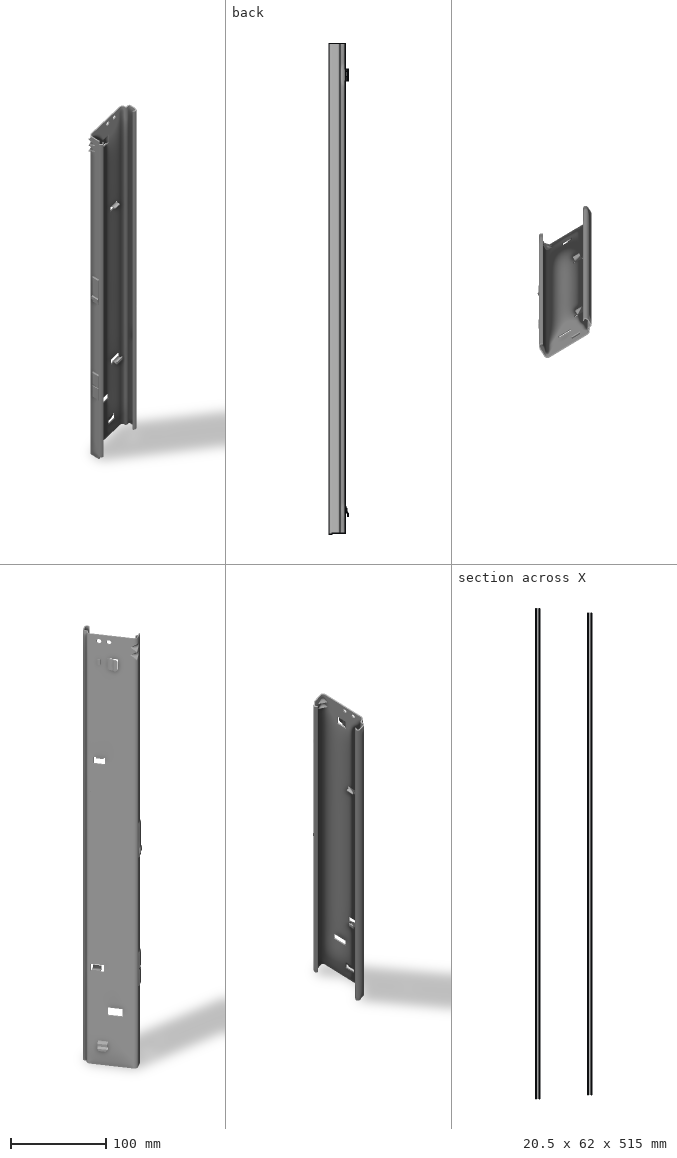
import cadquery as cq
import math

LENGTH = 515.0
WIDTH = 60.0
TOTAL_DEPTH = 20.5
CATCH_REACH = 3.35
DEPTH = TOTAL_DEPTH - CATCH_REACH
SHEET = 1.3
HALF = SHEET / 2

CORNER = 4.0
LIP_START = 14.0
LIP_TIP_X = 15.5
LIP_TIP_RISE = 4.9
LIP_CUTBACK = 4.5
LIP_CLEARANCE = 7.5
LIP_OVERHANG = 1.0

WEB_TOP = 51.0
STEP_Y = 54.5
STEP_BEND = 1.5
ARCH_X = 6.0
ARCH_BEND = 2.0

HOLE_RADIUS = 2.5
HOLE_Z = 507.5
HOLE_Y = (30.5, 41.0)
WINDOW_Y = (16.0, 31.5)
WINDOW_Z = (61.5, 70.5)

TAB_REACH = 6.0
UPPER_SLOT_Y = (34.5, 47.0)
UPPER_SLOT_Z = (360.5, 368.0)
UPPER_TAB_Y = (36.5, 44.5)
LOWER_SLOT_Y = (35.5, 50.0)
LOWER_SLOT_Z = (112.5, 120.5)
LOWER_TAB_Y = (39.5, 49.0)
LOWER_TAB_RISE = 4.0

CATCH_STEP = 1.8
CATCH_RAMP_END = 3.0
CATCH_FLAT_END = 6.0
CATCH_LIP_START = 8.0
LOWER_CATCH_Y = (31.5, 42.0)
LOWER_CATCH_Z = (19.0, 30.0)
LOWER_CATCH_CHAMFER = 2.0
UPPER_CATCH_Y = (20.5, 32.5)
UPPER_CATCH_Z = (475.5, 488.0)
UPPER_CATCH_CHAMFER = 1.5

NIB_HEIGHT = 1.5
NIB_Y = (39.5, 42.0)
NIB_Z = (480.0, 485.5)

PAD_X = (5.5, LIP_START)
PAD_HEIGHT = 1.0
PAD_RAMP = 1.5
UPPER_PAD_Z = (250.5, 292.0)
LOWER_PAD_Z = (96.5, 137.5)
RIDGE_Z = (254.5, 262.5)
RIDGE_HEIGHT = 2.0
RIDGE_RAMP = 2.0
GROOVE_Z = (115.5, 119.0)
GROOVE_DEPTH = 0.5

DENT_Z = (495.0, 504.0)
DENT_FLANGE_X = 9.0
DENT_WEB_Y = 7.0
DENT_HALF_ANGLE = 40.0

WEB_CUT_X = (-SHEET, 2 * SHEET)


def span(limits):
    """Distance between two (low, high) limits."""
    return limits[1] - limits[0]


def block(x_range, y_range, z_range):
    """Box given by its (low, high) limits along each axis."""
    size = (span(x_range), span(y_range), span(z_range))
    corner = (x_range[0], y_range[0], z_range[0])
    return cq.Workplane("XY").box(*size, centered=False).translate(corner)


def on_circle(center, radius, degrees):
    """Point on a circle, used as the middle point of a bend."""
    angle = math.radians(degrees)
    return (center[0] + radius * math.cos(angle), center[1] + radius * math.sin(angle))


def rail():
    """Bent sheet channel: the middle line of the sheet, thickened and extruded."""
    edge_x = DEPTH - HALF
    top_y = WIDTH - HALF
    step_radius = STEP_Y - WEB_TOP
    step_start = HALF + step_radius
    step_end = ARCH_X - STEP_BEND
    arch_top_x = ARCH_X + ARCH_BEND
    arch_side_y = top_y - ARCH_BEND
    lip_radius = edge_x - LIP_START
    lip_bulge = HALF + lip_radius

    corner_mid = on_circle((CORNER, CORNER), CORNER - HALF, 225)
    step_mid = on_circle((step_start, WEB_TOP), step_radius, 135)
    rise_mid = on_circle((step_end, STEP_Y + STEP_BEND), STEP_BEND, 315)
    arch_mid = on_circle((arch_top_x, arch_side_y), ARCH_BEND, 135)
    lip_mid = on_circle((LIP_START, lip_bulge), lip_radius, 315)

    middle_line = (
        cq.Workplane("XY")
        .moveTo(LIP_TIP_X, LIP_TIP_RISE)
        .lineTo(edge_x, lip_bulge)
        .threePointArc(lip_mid, (LIP_START, HALF))
        .lineTo(CORNER, HALF)
        .threePointArc(corner_mid, (HALF, CORNER))
        .lineTo(HALF, WEB_TOP)
        .threePointArc(step_mid, (step_start, STEP_Y))
        .lineTo(step_end, STEP_Y)
        .threePointArc(rise_mid, (ARCH_X, STEP_Y + STEP_BEND))
        .lineTo(ARCH_X, arch_side_y)
        .threePointArc(arch_mid, (arch_top_x, top_y))
        .lineTo(LIP_START, top_y)
        .threePointArc((lip_mid[0], WIDTH - lip_mid[1]), (edge_x, WIDTH - lip_bulge))
        .lineTo(LIP_TIP_X, WIDTH - LIP_TIP_RISE)
    )
    return middle_line.offset2D(HALF, "intersection").extrude(LENGTH)


def trim_ends(body):
    """Shorten the lower lip at both ends and leave only the upper lip at the very bottom."""
    upper_lip_y = WIDTH - LIP_CLEARANCE
    body = body.cut(block((0, LIP_START), (0, WIDTH), (0, LIP_OVERHANG)))
    body = body.cut(block((LIP_START, DEPTH), (0, upper_lip_y), (0, LIP_OVERHANG)))
    for z_range in ((0, LIP_CUTBACK), (LENGTH - LIP_CUTBACK, LENGTH)):
        body = body.cut(block((LIP_START, DEPTH), (-SHEET, LIP_CLEARANCE), z_range))
    return body


def dent_wedge(z, inset):
    """Triangular prism lying across the lower bend, its apex moved inward by inset."""
    run = math.hypot(DENT_FLANGE_X, DENT_WEB_Y)
    inward = cq.Vector(DENT_WEB_Y / run, DENT_FLANGE_X / run, 0)
    along = cq.Vector(DENT_FLANGE_X / run, -DENT_WEB_Y / run, 0)
    depth = DENT_FLANGE_X * DENT_WEB_Y / run + inset
    half_width = depth * math.tan(math.radians(DENT_HALF_ANGLE))
    start = cq.Vector(0, DENT_WEB_Y, z) + inward * inset - along * depth
    return (
        cq.Workplane(cq.Plane(origin=start, xDir=inward, normal=along))
        .polyline([(0, 0), (-depth, half_width), (-depth, -half_width)])
        .close()
        .extrude(run + 2 * depth)
    )


def add_dents(body):
    """Push the bend inward: sheet is added inside and removed outside."""
    inside = block((0, DENT_FLANGE_X + 2 * SHEET), (0, DENT_WEB_Y + 2 * SHEET), (0, LENGTH))
    for z in DENT_Z:
        body = body.union(dent_wedge(z, SHEET).intersect(inside))
        body = body.cut(dent_wedge(z, 0))
    return body


def cut_web_openings(body):
    """Two round holes at the upper end and a rectangular window near the lower end."""
    for y in HOLE_Y:
        hole = cq.Workplane("YZ").center(y, HOLE_Z).circle(HOLE_RADIUS).extrude(2 * SHEET)
        body = body.cut(hole)
    return body.cut(block(WEB_CUT_X, WINDOW_Y, WINDOW_Z))


def add_slots_with_tabs(body):
    """The upper tab is flat and hangs at the slot top; the lower one has an upturned end."""
    slot_top = UPPER_SLOT_Z[1]
    slot_floor = LOWER_SLOT_Z[0]
    body = body.cut(block(WEB_CUT_X, UPPER_SLOT_Y, UPPER_SLOT_Z))
    body = body.cut(block(WEB_CUT_X, LOWER_SLOT_Y, LOWER_SLOT_Z))
    body = body.union(block((0, TAB_REACH), UPPER_TAB_Y, (slot_top - SHEET, slot_top)))
    body = body.union(block((0, TAB_REACH), LOWER_TAB_Y, (slot_floor, slot_floor + SHEET)))
    upturned_end = (TAB_REACH - SHEET, TAB_REACH)
    return body.union(block(upturned_end, LOWER_TAB_Y, (slot_floor, slot_floor + LOWER_TAB_RISE)))


def catch(length, width, chamfer):
    """Stepped tab hinged on the Y axis, hanging toward -Z and standing out toward -X."""
    stations = [
        (0, 0),
        (-CATCH_STEP, -CATCH_RAMP_END),
        (-CATCH_STEP, -CATCH_FLAT_END),
        (-CATCH_REACH, -CATCH_LIP_START),
        (-CATCH_REACH, -length),
    ]
    inner_side = [(x + SHEET, z) for x, z in reversed(stations)]
    tab = cq.Workplane("XZ").polyline(stations + inner_side).close().extrude(width / 2, both=True)
    return tab.edges("|X and <Z").chamfer(chamfer)


def add_catches(body):
    """The lower catch hangs down; the upper one is turned to point toward -Y."""
    body = body.cut(block(WEB_CUT_X, LOWER_CATCH_Y, LOWER_CATCH_Z))
    lower = catch(span(LOWER_CATCH_Z), span(LOWER_CATCH_Y), LOWER_CATCH_CHAMFER)
    body = body.union(lower.translate((0, sum(LOWER_CATCH_Y) / 2, LOWER_CATCH_Z[1])))

    body = body.cut(block(WEB_CUT_X, UPPER_CATCH_Y, UPPER_CATCH_Z))
    upper = catch(span(UPPER_CATCH_Y), span(UPPER_CATCH_Z), UPPER_CATCH_CHAMFER)
    upper = upper.rotate((0, 0, 0), (1, 0, 0), -90)
    body = body.union(upper.translate((0, UPPER_CATCH_Y[1], sum(UPPER_CATCH_Z) / 2)))
    return body.union(block((-NIB_HEIGHT, HALF), NIB_Y, NIB_Z))


def raised_pad(z_range, height, ramp):
    """Pad on the outside of the lower flange, sloped at both ends."""
    low, high = z_range
    outline = [
        (HALF, low),
        (0, low),
        (-height, low + ramp),
        (-height, high - ramp),
        (0, high),
        (HALF, high),
    ]
    plane = cq.Workplane("YZ").workplane(offset=PAD_X[0])
    return plane.polyline(outline).close().extrude(span(PAD_X))


def add_flange_pads(body):
    """Two long pads: the upper one carries a ridge, the lower one a shallow groove."""
    body = body.union(raised_pad(UPPER_PAD_Z, PAD_HEIGHT, PAD_RAMP))
    body = body.union(raised_pad(RIDGE_Z, RIDGE_HEIGHT, RIDGE_RAMP))
    body = body.union(raised_pad(LOWER_PAD_Z, PAD_HEIGHT, PAD_RAMP))
    return body.cut(block(PAD_X, (-PAD_HEIGHT, GROOVE_DEPTH - PAD_HEIGHT), GROOVE_Z))


result = rail()
result = trim_ends(result)
result = add_dents(result)
result = cut_web_openings(result)
result = add_slots_with_tabs(result)
result = add_catches(result)
result = add_flange_pads(result)